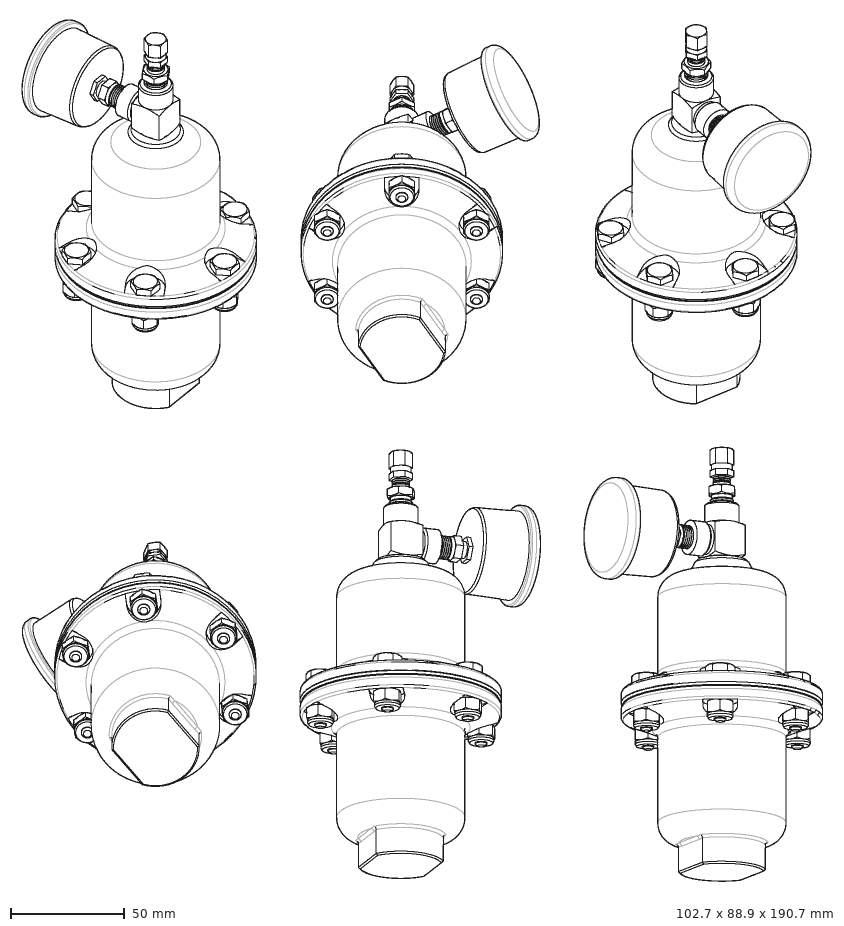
import cadquery as cq
import math

total_height = 190.7

body_radius = 56.6 / 2
body_bottom = 13.0
bottom_corner_radius = 9.3
shoulder_bottom = 124.0
shoulder_end_radius = 19.8
shoulder_end = 133.7
neck_radius = 12.2
neck_top = 140.5
neck_edge = 1.3
neck_fillet_radius = 8.0

spigot_radius = 19.3
spigot_flats = 31.7
spigot_chamfer = 0.8
spigot_fillet = 1.3

flange_radius = 88.9 / 2
cone_inner_radius = 61.2 / 2
cone_height = 4.8
rim_edge_depth = 1.0
cone_outer_radius = flange_radius - rim_edge_depth
upper_rim_top = 81.5
lower_rim_bottom = 68.7
joint_height = 75.0
rim_edge = 1.1
joint_edge_depth = 0.8
lower_joint_edge_height = 1.5
gasket_radius = 43.9
gasket_thickness = 0.4
flare_height = 3.2

bolt_count = 6
bolt_circle_radius = 38.0
bolt_radius = 2.7
bolt_end = 59.7
head_flats = 11.3
head_height = 3.6
head_top_radius = 5.3
bolt_tip_chamfer = 1.0
nut_height = 5.5
nut_collar_radius = 11.5 / 2
nut_collar_end_radius = 10.3 / 2
nut_collar_bottom = 61.0
head_seat_radius = 8.8
nut_seat_radius = 7.6

elbow_size = 15.3
elbow_bottom = 141.5
elbow_block_top = 157.1
elbow_top = 166.0
elbow_foot_radius = 5.3
elbow_edge = 0.8
elbow_corner_slope = 20
socket_outer_x = -16.5
socket_inner_x = -10.0
socket_neck_radius = 6.7

gauge_height = (elbow_bottom + elbow_block_top) / 2
gauge_face_x = -58.2
bezel_radius = 45.0 / 2
bezel_round = 2.7
bezel_back_x = -53.0
bezel_back_round = 0.5
case_front_radius = 19.8
case_back_radius = 19.3
case_back_x = -31.8
case_edge = 1.1
case_edge_depth = case_edge / 2
stem_radius = 7.6 / 2
stem_flats = 10.3
rear_hex_length = 2.0
front_hex_start_x = -27.5
front_hex_length = 3.6
gauge_thread_radius = 10.3 / 2
gauge_thread_start_x = -22.1

valve_thread_radius = 10.3 / 2
valve_collar_radius = 9.3 / 2
valve_thread_top = 168.2
valve_nut_bottom = 169.7
valve_nut_height = 4.2
valve_nut_flats = 11.3
valve_face_radius = 5.3
valve_stem_radius = 7.6 / 2
valve_stem_thread_bottom = 175.5
cap_bottom = 178.3
cap_groove_bottom = 181.2
cap_groove_top = 183.6
cap_flats = 9.2

thread_pitch = 1.0
thread_depth = 0.8
hex_corner_slope = 30
corner_towards_x = 0
corner_towards_y = 90

overlap = 0.4


def revolve_z(points):
    """Solid of revolution about Z from (radius, height) points."""
    return cq.Workplane("XZ").polyline(points).close().revolve(360, (0, 0, 0), (0, 1, 0))


def cylinder(radius, bottom, top):
    return cq.Workplane("XY").workplane(offset=bottom).circle(radius).extrude(top - bottom)


def hex_prism(flats, bottom, top, corner_angle, bottom_face_radius=None, top_face_radius=None):
    """Hexagon about Z with a corner at corner_angle; a face radius rounds that end off with a cone."""
    corner_radius = flats / math.sqrt(3)
    prism = (
        cq.Workplane("XY").workplane(offset=bottom).polygon(6, 2 * corner_radius).extrude(top - bottom)
        .rotate((0, 0, 0), (0, 0, 1), corner_angle)
    )
    bottom_radius = bottom_face_radius or corner_radius
    top_radius = top_face_radius or corner_radius
    slope = math.tan(math.radians(hex_corner_slope))
    envelope = [(0, bottom), (bottom_radius, bottom)]
    if bottom_face_radius:
        envelope.append((corner_radius, bottom + (corner_radius - bottom_radius) * slope))
    if top_face_radius:
        envelope.append((corner_radius, top - (corner_radius - top_radius) * slope))
    envelope += [(top_radius, top), (0, top)]
    return prism.intersect(revolve_z(envelope))


def ridged_rod(radius, bottom, top):
    """Threaded rod shown as a row of annular V-shaped ridges."""
    ridge_count = round((top - bottom) / thread_pitch)
    pitch = (top - bottom) / ridge_count
    root = radius - thread_depth
    points = [(0, bottom), (root, bottom)]
    for i in range(ridge_count):
        points.append((radius, bottom + (i + 0.5) * pitch))
        points.append((root, bottom + (i + 1) * pitch))
    points.append((0, top))
    return revolve_z(points)


def along_x(shape):
    """Turn a shape built about Z onto the gauge axis, with its Z becoming X."""
    return shape.rotate((0, 0, 0), (0, 1, 0), 90).translate((0, 0, gauge_height))


def make_vessel():
    diagonal = math.sqrt(0.5)
    corner_x = body_radius - bottom_corner_radius
    corner_z = body_bottom + bottom_corner_radius
    lower_cone_bottom = lower_rim_bottom - cone_height
    upper_cone_top = upper_rim_top + cone_height
    joint_edge_radius = flange_radius - joint_edge_depth
    gasket_bottom = joint_height - gasket_thickness / 2
    gasket_top = joint_height + gasket_thickness / 2
    return (
        cq.Workplane("XZ")
        .moveTo(0, body_bottom)
        .lineTo(corner_x, body_bottom)
        .threePointArc(
            (corner_x + bottom_corner_radius * diagonal, corner_z - bottom_corner_radius * diagonal),
            (body_radius, corner_z),
        )
        .lineTo(body_radius, lower_cone_bottom - flare_height)
        .tangentArcPoint((cone_inner_radius, lower_cone_bottom), relative=False)
        .lineTo(cone_outer_radius, lower_rim_bottom)
        .tangentArcPoint((flange_radius, lower_rim_bottom + rim_edge), relative=False)
        .lineTo(flange_radius, gasket_bottom - lower_joint_edge_height)
        .tangentArcPoint((joint_edge_radius, gasket_bottom), relative=False)
        .lineTo(gasket_radius, gasket_bottom)
        .lineTo(gasket_radius, gasket_top)
        .lineTo(joint_edge_radius, gasket_top)
        .tangentArcPoint((flange_radius, gasket_top + rim_edge), relative=False)
        .lineTo(flange_radius, upper_rim_top - rim_edge)
        .tangentArcPoint((cone_outer_radius, upper_rim_top), relative=False)
        .lineTo(cone_inner_radius, upper_cone_top)
        .tangentArcPoint((body_radius, upper_cone_top + flare_height), relative=False)
        .lineTo(body_radius, shoulder_bottom)
        .tangentArcPoint((shoulder_end_radius, shoulder_end), relative=False)
        .radiusArc((neck_radius, neck_top - neck_edge), neck_fillet_radius)
        .lineTo(neck_radius - neck_edge, neck_top)
        .lineTo(0, neck_top)
        .close()
        .revolve(360, (0, 0, 0), (0, 1, 0))
    )


def add_spigot(vessel):
    """Add the round spigot, with two flats facing -X and +X and a fillet where it meets the vessel."""
    slab_height = body_bottom + overlap
    flats = cq.Workplane("XY").rect(spigot_flats, 2 * spigot_radius).extrude(slab_height)
    spigot = cylinder(spigot_radius, 0, slab_height).intersect(flats)
    spigot = spigot.faces("<Z").chamfer(spigot_chamfer)
    root_zone = cq.selectors.BoxSelector(
        (-body_radius, -body_radius, body_bottom - overlap),
        (body_radius, body_radius, body_bottom + overlap),
    )
    return vessel.union(spigot).edges(root_zone).fillet(spigot_fillet)


def seat_cutter(radius, bottom, top):
    """U-shaped bolt seat at angle 0, open towards the flange rim."""
    depth = top - bottom
    pocket = cylinder(radius, bottom, top).translate((bolt_circle_radius, 0, 0))
    opening = cq.Workplane("XY").box(2 * radius, 2 * radius, depth, centered=(False, True, False))
    return pocket.union(opening.translate((bolt_circle_radius, 0, bottom)))


def make_bolt():
    """Hex bolt with a collared lock nut, about Z."""
    nut_bottom = lower_rim_bottom - nut_height
    nut_face_radius = head_flats / 2
    head_top = upper_rim_top + head_height
    head = hex_prism(head_flats, upper_rim_top, head_top, corner_towards_y, top_face_radius=head_top_radius)
    nut = hex_prism(
        head_flats, nut_bottom, lower_rim_bottom, corner_towards_x, nut_face_radius, nut_face_radius
    )
    collar_step = (nut_bottom + nut_collar_bottom) / 2
    collar = revolve_z([
        (0, nut_bottom),
        (nut_collar_radius, nut_bottom),
        (nut_collar_radius, collar_step),
        (nut_collar_end_radius, nut_collar_bottom),
        (0, nut_collar_bottom),
    ])
    shank = cylinder(bolt_radius, bolt_end, upper_rim_top + overlap).faces("<Z").chamfer(bolt_tip_chamfer)
    return shank.union(head).union(nut).union(collar)


def make_elbow():
    half = elbow_size / 2
    corner_radius = half * math.sqrt(2)
    drop = (corner_radius - half) * math.tan(math.radians(elbow_corner_slope))
    block = cq.Workplane("XY").workplane(offset=elbow_bottom).rect(elbow_size, elbow_size)
    block = block.extrude(elbow_block_top - elbow_bottom).intersect(revolve_z([
        (0, elbow_bottom),
        (half, elbow_bottom),
        (corner_radius, elbow_bottom + drop),
        (corner_radius, elbow_block_top - drop),
        (half, elbow_block_top),
        (0, elbow_block_top),
    ]))
    foot = cylinder(elbow_foot_radius, neck_top - overlap, elbow_bottom + overlap)
    upper_socket = cylinder(half, elbow_block_top - overlap, elbow_top).faces(">Z").chamfer(elbow_edge)
    side_socket = along_x(revolve_z([
        (0, socket_outer_x),
        (half, socket_outer_x),
        (half, socket_inner_x),
        (socket_neck_radius, socket_inner_x + half - socket_neck_radius),
        (socket_neck_radius, 0),
        (0, 0),
    ]))
    return block.union(foot).union(upper_socket).union(side_socket)


def make_gauge():
    case = along_x(revolve_z([
        (0, bezel_back_x),
        (case_front_radius, bezel_back_x),
        (case_back_radius, case_back_x - case_edge),
        (case_back_radius - case_edge_depth, case_back_x),
        (0, case_back_x),
    ]))
    bezel = cylinder(bezel_radius, gauge_face_x, bezel_back_x)
    bezel = bezel.faces("<Z").edges().fillet(bezel_round).faces(">Z").edges().fillet(bezel_back_round)
    stem = cylinder(stem_radius, case_back_x - overlap, front_hex_start_x + overlap)
    front_hex_end_x = front_hex_start_x + front_hex_length
    rear_hex = hex_prism(stem_flats, case_back_x, case_back_x + rear_hex_length, corner_towards_y)
    front_hex = hex_prism(stem_flats, front_hex_start_x, front_hex_end_x, corner_towards_y)
    shoulder = cylinder(gauge_thread_radius, front_hex_end_x, gauge_thread_start_x)
    thread = ridged_rod(gauge_thread_radius, gauge_thread_start_x, socket_outer_x)
    gauge = case
    for piece in (bezel, stem, rear_hex, front_hex, shoulder, thread):
        gauge = gauge.union(along_x(piece))
    return gauge


def make_valve():
    nut_top = valve_nut_bottom + valve_nut_height
    pieces = [
        cylinder(valve_collar_radius, valve_thread_top, valve_nut_bottom),
        hex_prism(
            valve_nut_flats, valve_nut_bottom, nut_top, corner_towards_x, valve_face_radius, valve_face_radius
        ),
        cylinder(valve_stem_radius, nut_top, valve_stem_thread_bottom),
        ridged_rod(valve_stem_radius, valve_stem_thread_bottom, cap_bottom),
        hex_prism(cap_flats, cap_bottom, cap_groove_bottom, corner_towards_y),
        cylinder(cap_flats / 2, cap_groove_bottom, cap_groove_top),
        hex_prism(cap_flats, cap_groove_top, total_height, corner_towards_y, top_face_radius=cap_flats / 2),
    ]
    valve = ridged_rod(valve_thread_radius, elbow_top, valve_thread_top)
    for piece in pieces:
        valve = valve.union(piece)
    return valve


result = add_spigot(make_vessel())
head_seat = seat_cutter(head_seat_radius, upper_rim_top, upper_rim_top + 2 * cone_height)
nut_seat = seat_cutter(nut_seat_radius, lower_rim_bottom - 2 * cone_height, lower_rim_bottom)
bolt = make_bolt()
for i in range(bolt_count):
    angle = i * 360 / bolt_count
    for seat in (head_seat, nut_seat):
        result = result.cut(seat.rotate((0, 0, 0), (0, 0, 1), angle))
for i in range(bolt_count):
    angle = math.radians(i * 360 / bolt_count)
    place = (bolt_circle_radius * math.cos(angle), bolt_circle_radius * math.sin(angle), 0)
    result = result.union(bolt.translate(place))
for part in (make_elbow(), make_gauge(), make_valve()):
    result = result.union(part)